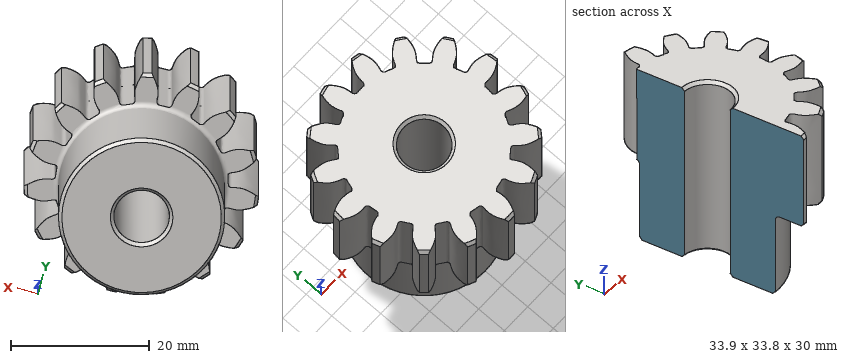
import cadquery as cq
import math

MODULE = 2.0
TOOTH_COUNT = 15
PRESSURE_ANGLE = math.radians(20)
PITCH_RADIUS = MODULE * TOOTH_COUNT / 2
BASE_RADIUS = PITCH_RADIUS * math.cos(PRESSURE_ANGLE)
TIP_RADIUS = PITCH_RADIUS + MODULE
DEDENDUM = 1.25 * MODULE
ROOT_RADIUS = PITCH_RADIUS - DEDENDUM
ROOT_FILLET = 0.5
TOOTH_PITCH_ANGLE = 2 * math.pi / TOOTH_COUNT
FIRST_TOOTH_ANGLE = -math.pi / 2
FLANK_POINTS = 6
SPACE_OVERCUT = 2.0

FACE_WIDTH = 16.0
TOTAL_HEIGHT = 30.0
HUB_HEIGHT = TOTAL_HEIGHT - FACE_WIDTH
HUB_RADIUS = 12.0
HUB_FILLET = 0.75
BORE_RADIUS = 4.0
CHAMFER = 0.5


def polar(radius, angle):
    """Cartesian point at a radius and an angle in radians."""
    return (radius * math.cos(angle), radius * math.sin(angle))


def flank_half_angle(radius):
    """Half of the angle a tooth spans at a radius on its involute flanks."""
    roll = math.acos(BASE_RADIUS / radius)
    pitch_half_angle = TOOTH_PITCH_ANGLE / 4
    pitch_involute = math.tan(PRESSURE_ANGLE) - PRESSURE_ANGLE
    return pitch_half_angle + pitch_involute - (math.tan(roll) - roll)


def tooth_space():
    """Prism of the gap between two teeth, centred on +X, deep enough to trim the hub fillet too."""
    floor = HUB_HEIGHT - HUB_FILLET
    half_pitch = TOOTH_PITCH_ANGLE / 2
    outer_radius = TIP_RADIUS + SPACE_OVERCUT
    step = (TIP_RADIUS - BASE_RADIUS) / (FLANK_POINTS - 1)
    radii = [BASE_RADIUS + i * step for i in range(FLANK_POINTS)]
    upper = [polar(r, half_pitch - flank_half_angle(r)) for r in radii]
    lower = [(x, -y) for x, y in upper]
    base_angle = half_pitch - flank_half_angle(BASE_RADIUS)
    tip_angle = half_pitch - flank_half_angle(TIP_RADIUS)
    root_upper = polar(ROOT_RADIUS, base_angle)
    root_lower = polar(ROOT_RADIUS, -base_angle)
    space = (
        cq.Workplane("XY", origin=(0, 0, floor))
        .moveTo(*root_lower)
        .threePointArc((ROOT_RADIUS, 0), root_upper)
        .spline(upper, includeCurrent=True)
        .lineTo(*polar(outer_radius, tip_angle))
        .lineTo(*polar(outer_radius, -tip_angle))
        .lineTo(*lower[-1])
        .spline(lower[-2::-1] + [root_lower], includeCurrent=True)
        .close()
        .extrude(TOTAL_HEIGHT - floor)
    )
    root_corners = cq.selectors.BoxSelector(
        (0, -TIP_RADIUS, floor),
        (ROOT_RADIUS + ROOT_FILLET / 2, TIP_RADIUS, TOTAL_HEIGHT),
    )
    return space.edges("|Z").edges(root_corners).fillet(ROOT_FILLET)


def gear_blank():
    """Toothless gear disc, chamfered around both faces."""
    return (
        cq.Workplane("XY", origin=(0, 0, HUB_HEIGHT))
        .circle(TIP_RADIUS)
        .extrude(FACE_WIDTH)
        .faces("<Z or >Z")
        .chamfer(CHAMFER)
    )


def hub():
    """Round hub, chamfered at its free end, flaring in a fillet up to the gear face."""
    fillet_mid = HUB_FILLET * (1 - math.sqrt(0.5))
    return (
        cq.Workplane("XZ")
        .lineTo(HUB_RADIUS - CHAMFER, 0)
        .lineTo(HUB_RADIUS, CHAMFER)
        .lineTo(HUB_RADIUS, HUB_HEIGHT - HUB_FILLET)
        .threePointArc(
            (HUB_RADIUS + fillet_mid, HUB_HEIGHT - fillet_mid),
            (HUB_RADIUS + HUB_FILLET, HUB_HEIGHT),
        )
        .lineTo(0, HUB_HEIGHT)
        .close()
        .revolve(360, (0, 0, 0), (0, 1, 0))
    )


def cut_teeth(body):
    """Cut every tooth space, leaving one tooth centred on the first tooth angle."""
    space = tooth_space()
    for i in range(TOOTH_COUNT):
        angle = FIRST_TOOTH_ANGLE + (i + 0.5) * TOOTH_PITCH_ANGLE
        body = body.cut(space.rotate((0, 0, 0), (0, 0, 1), math.degrees(angle)))
    return body


def bore():
    """Through bore with a countersunk chamfer at both ends."""
    wide_radius = BORE_RADIUS + CHAMFER
    return (
        cq.Workplane("XZ")
        .lineTo(wide_radius, 0)
        .lineTo(BORE_RADIUS, CHAMFER)
        .lineTo(BORE_RADIUS, TOTAL_HEIGHT - CHAMFER)
        .lineTo(wide_radius, TOTAL_HEIGHT)
        .lineTo(0, TOTAL_HEIGHT)
        .close()
        .revolve(360, (0, 0, 0), (0, 1, 0))
    )


result = cut_teeth(gear_blank().union(hub())).cut(bore())